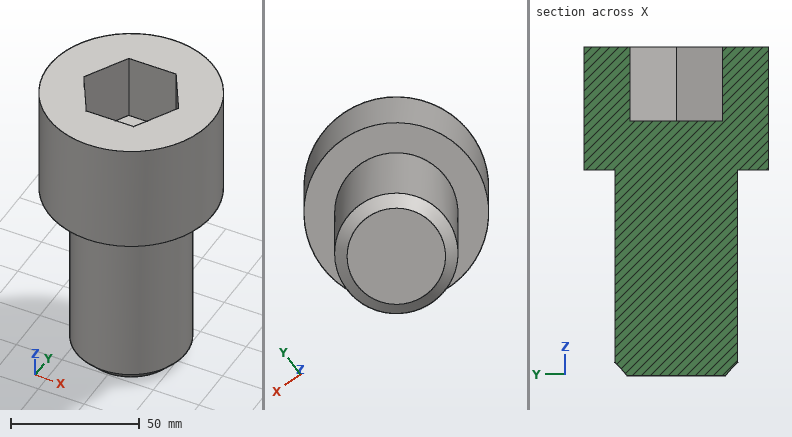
import cadquery as cq
import math

total_length = 128.0
head_diameter = 72.0
shank_diameter = 48.0
head_height = shank_diameter
socket_across_flats = head_diameter / 2
socket_depth = 28.8
tip_chamfer_height = 5.2
tip_chamfer_width = 4.9

shank_radius = shank_diameter / 2
head_radius = head_diameter / 2
shank_length = total_length - head_height


def make_body():
    """Revolve the half outline; the tip is at Z = 0 and the axis is Z."""
    return (
        cq.Workplane("XZ")
        .lineTo(shank_radius - tip_chamfer_width, 0)
        .lineTo(shank_radius, tip_chamfer_height)
        .lineTo(shank_radius, shank_length)
        .lineTo(head_radius, shank_length)
        .lineTo(head_radius, total_length)
        .lineTo(0, total_length)
        .close()
        .revolve(360, (0, 0), (0, 1))
    )


def make_socket():
    """Hexagonal drive socket with two corners on the X axis."""
    across_corners = socket_across_flats / math.cos(math.radians(30))
    return (
        cq.Workplane("XY", origin=(0, 0, total_length - socket_depth))
        .polygon(6, across_corners)
        .extrude(socket_depth)
    )


result = make_body().cut(make_socket())